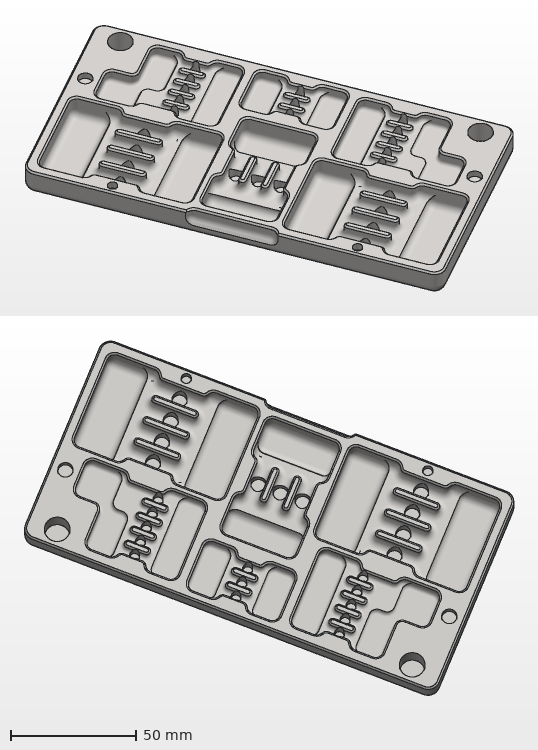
import cadquery as cq
import math

LENGTH = 177.8
WIDTH = 88.9
THICKNESS = 12.7
PLATE_CORNER = 4.8
BASE_FILLET = 4.75
EDGE_CHAMFER = 0.79

FIN_WIDTH = 3.175
WALL_STEP = FIN_WIDTH
WALL_CORNER = 3.2
BUMP_NOSE = 2.4
FIN_ROOT = 0.5
FLARE_GAP = 0.02
COMB_HOLE_DEPTH = 3.2

LARGE = {"ball": 3.175, "hole": 6.1, "tray_floor": 2.54, "comb_floor": 5.7, "fin_top": 11.6}
SMALL = {"ball": 1.5875, "hole": 4.1, "tray_floor": 7.0, "comb_floor": 8.8, "fin_top": 11.6}

SIDE_X = 51.9
SIDE_Y = -19.0
SIDE_FINS = 3
SIDE_FIN_SPAN = 16.6
SIDE_COMB = 30.4
SIDE_LENGTH = 64.7

CENTRE_Y = -12.2
CENTRE_FINS = 2
CENTRE_FIN_SPAN = 12.1
CENTRE_COMB = 25.8
CENTRE_LENGTH = 52.0

UPPER_FIN_SPAN = 7.9
UPPER_COMB = 16.2
UPPER_LENGTH = 39.1
MIDDLE_Y = 29.6
MIDDLE_FINS = 2
STEPPED_X = 44.0
STEPPED_Y = 22.2
STEPPED_FINS = 4

FOOT_OUTER_X = -32.1
FOOT_TOP_Y = -1.45
FOOT_INNER_X = -16.35
SILL_Y = -2.85
TRAY_BEND = 3.175
LOWER_BUMP_START = -12.2
LOWER_BUMP_END = 0.0

CORNER_HOLE = {"diameter": 10.2, "x": 76.3, "y": 37.1, "depth": 10.0}
EDGE_HOLE = {"diameter": 6.1, "x": 82.5, "y": 12.8, "depth": 3.0}
FRONT_HOLE = {"diameter": 4.1, "x": 51.9, "y": -40.6, "depth": 3.5}

NOTCH_LENGTH = 38.2
NOTCH_FLOOR = 6.12
NOTCH_DEPTH = 2.4
NOTCH_BALL = 3.175
NOTCH_CHAMFER = 1.0


def make_plate():
    plate = cq.Workplane("XY").rect(LENGTH, WIDTH).extrude(THICKNESS)
    plate = plate.edges("|Z").fillet(PLATE_CORNER)
    plate = plate.faces("<Z").edges().fillet(BASE_FILLET)
    return plate.faces(">Z").edges().chamfer(EDGE_CHAMFER)


TOUCHING = 1e-6


def rounded_outline(corners):
    """Closed wire through (x, y, radius) corners, each rounded by its radius."""
    count = len(corners)
    arcs = []
    for i, (x, y, radius) in enumerate(corners):
        corner = cq.Vector(x, y)
        before = (cq.Vector(*corners[i - 1][:2]) - corner).normalized()
        after = (cq.Vector(*corners[(i + 1) % count][:2]) - corner).normalized()
        half_angle = before.getAngle(after) / 2
        setback = radius / math.tan(half_angle)
        crown = radius / math.sin(half_angle) - radius
        middle = corner + (before + after).normalized() * crown
        arcs.append((corner + before * setback, middle, corner + after * setback))
    edges = []
    for i, (start, middle, end) in enumerate(arcs):
        next_start = arcs[(i + 1) % count][0]
        edges.append(cq.Edge.makeThreePointArc(start, middle, end))
        if (next_start - end).Length > TOUCHING:
            edges.append(cq.Edge.makeLine(end, next_start))
    return cq.Wire.assembleEdges(edges)


def rectangle(x0, x1, y0, y1, radius):
    return [(x0, y0, radius), (x1, y0, radius), (x1, y1, radius), (x0, y1, radius)]


def bump_end(x, side, comb_wall, tray_wall):
    """Corners of the step from a tray wall to the comb wall, in that order.

    Their two arcs meet each other directly. The straight comb wall ends at x. The side is +1 if
    the tray lies towards +X and -1 if it lies towards -X.
    """
    reach = BUMP_NOSE + WALL_CORNER
    turn = math.acos(1 - WALL_STEP / reach)
    lean = math.tan(turn / 2)
    tray_x = x + side * (reach * math.sin(turn) - WALL_CORNER * lean)
    return [(tray_x, tray_wall, WALL_CORNER), (x + side * BUMP_NOSE * lean, comb_wall, BUMP_NOSE)]


def wall_distances(fin_count, ball):
    """Distances from the pocket's X axis to the comb walls and to the tray walls."""
    comb_wall = fin_count * (FIN_WIDTH / 2 + ball) + ball
    return comb_wall, comb_wall + WALL_STEP


def plain_outlines(length, comb_width, span, fin_count, size):
    """Pocket outline and tray outlines with a rectangular tray on each side."""
    comb_wall, tray_wall = wall_distances(fin_count, size["ball"])
    far = length / 2
    near = comb_width / 2
    right_half = [
        *reversed(bump_end(span / 2, 1, -comb_wall, -tray_wall)),
        (far, -tray_wall, WALL_CORNER),
        (far, tray_wall, WALL_CORNER),
        *bump_end(span / 2, 1, comb_wall, tray_wall),
    ]
    left_half = [(-x, -y, radius) for x, y, radius in right_half]
    trays = [
        rectangle(near, far, -tray_wall, tray_wall, WALL_CORNER),
        rectangle(-far, -near, -tray_wall, tray_wall, WALL_CORNER),
    ]
    return right_half + left_half, trays


def stepped_outlines():
    """Pocket outline and tray outlines with a left tray that turns outwards at its foot."""
    comb_wall, tray_wall = wall_distances(STEPPED_FINS, SMALL["ball"])
    far = UPPER_LENGTH / 2
    near = UPPER_COMB / 2
    fin_end = UPPER_FIN_SPAN / 2
    foot_walls = [
        (-far, tray_wall, WALL_CORNER),
        (-far, FOOT_TOP_Y, TRAY_BEND),
        (FOOT_OUTER_X, FOOT_TOP_Y, WALL_CORNER),
        (FOOT_OUTER_X, -tray_wall, WALL_CORNER),
    ]
    outline = [
        (far, -tray_wall, WALL_CORNER),
        (far, tray_wall, WALL_CORNER),
        *bump_end(fin_end, 1, comb_wall, tray_wall),
        *reversed(bump_end(-fin_end, -1, comb_wall, tray_wall)),
        *foot_walls,
        *bump_end(LOWER_BUMP_START, -1, -comb_wall, -tray_wall),
        *reversed(bump_end(LOWER_BUMP_END, 1, -comb_wall, -tray_wall)),
    ]
    turned_tray = [
        *foot_walls,
        (FOOT_INNER_X, -tray_wall, WALL_CORNER),
        (FOOT_INNER_X, SILL_Y, TRAY_BEND),
        (-near, SILL_Y, WALL_CORNER),
        (-near, tray_wall, WALL_CORNER),
    ]
    return outline, [turned_tray, rectangle(near, far, -tray_wall, tray_wall, WALL_CORNER)]


def sunk(corners, floor, ball):
    """Cutter from the top face down to the floor, with its bottom edge rounded."""
    cutter = cq.Workplane("XY").add(rounded_outline(corners)).toPending().extrude(THICKNESS - floor)
    return cutter.faces("<Z").edges().fillet(ball).translate((0, 0, floor))


def flared_band(corners, chamfer):
    """Solid standing on z = 0 that first widens at 45 degrees by the chamfer."""
    outer = rounded_outline(corners).offset2D(chamfer)[0]
    band = cq.Workplane("XY").add(outer).toPending().extrude(2 * chamfer)
    return band.faces("<Z").edges().chamfer(chamfer)


def rim(corners):
    """Cutter that chamfers the edge of an opening in the top face."""
    return flared_band(corners, EDGE_CHAMFER).translate((0, 0, THICKNESS - EDGE_CHAMFER))


def fin_half_profile(plane, size):
    """Open half outline of a fin, from the middle of its root round to the middle of its top."""
    floor = size["comb_floor"]
    top = size["fin_top"]
    half = FIN_WIDTH / 2
    flare = size["ball"] - FLARE_GAP
    bow = flare * (1 - math.sqrt(0.5))
    return (
        cq.Workplane(plane)
        .moveTo(0, floor - FIN_ROOT)
        .lineTo(half + flare, floor - FIN_ROOT)
        .lineTo(half + flare, floor)
        .threePointArc((half + bow, floor + bow), (half, floor + flare))
        .lineTo(half, top - EDGE_CHAMFER)
        .lineTo(half - EDGE_CHAMFER, top)
        .lineTo(0, top)
    )


def make_fin(span, size):
    """Fin along X with round ends, a chamfered top and a foot flared onto the comb floor."""
    fin = fin_half_profile("YZ", size).mirrorY().extrude(span / 2, both=True)
    end = fin_half_profile("XZ", size).close().revolve(360, (0, 0), (0, 1))
    for x in (-span / 2, span / 2):
        fin = fin.union(end.translate((x, 0, 0)))
    return fin


def row(solid, count, pitch):
    """Copies of a solid along Y, centred on the origin."""
    return [solid.translate((0, (i - (count - 1) / 2) * pitch, 0)) for i in range(count)]


def make_pocket(outlines, span, fin_count, size):
    """Cutters, fins and comb hole cutters of a pocket centred on the origin."""
    outline, trays = outlines
    ball = size["ball"]
    cutters = [sunk(outline, size["comb_floor"], ball), rim(outline)]
    cutters += [sunk(tray, size["tray_floor"], ball) for tray in trays]
    pitch = FIN_WIDTH + 2 * ball
    fins = row(make_fin(span, size), fin_count, pitch)
    hole = cq.Workplane("XY").workplane(offset=size["comb_floor"] - COMB_HOLE_DEPTH)
    hole = hole.circle(size["hole"] / 2).extrude(THICKNESS)
    return cutters, fins, row(hole, fin_count + 1, pitch)


def moved(pocket, x, y, turn=0):
    def move(solid):
        return solid.rotate((0, 0, 0), (0, 0, 1), turn).translate((x, y, 0))

    return [[move(solid) for solid in group] for group in pocket]


def mirrored(pocket):
    return [[solid.mirror("YZ") for solid in group] for group in pocket]


def fit_pocket(body, pocket):
    cutters, fins, holes = pocket
    for cutter in cutters:
        body = body.cut(cutter)
    for fin in fins:
        body = body.union(fin)
    for hole in holes:
        body = body.cut(hole)
    return body


def hole_pair(diameter, x, y, depth):
    """Cutter for a blind hole and its mirror image."""
    holes = cq.Workplane("XY").workplane(offset=THICKNESS - depth).pushPoints([(-x, y), (x, y)])
    return holes.circle(diameter / 2).extrude(depth)


def notch_cutters():
    """Cutters for the thumb notch in the middle of the front edge, open to the front and top."""
    height = THICKNESS - NOTCH_FLOOR
    half = NOTCH_LENGTH / 2
    reach = 2 * NOTCH_BALL
    notch = cq.Workplane("XY").box(NOTCH_LENGTH, NOTCH_DEPTH + reach, 2 * height)
    notch = notch.edges("|Z or <Z").fillet(NOTCH_BALL)
    notch = notch.translate((0, (NOTCH_DEPTH - reach) / 2, THICKNESS))

    top_rim = rim(rectangle(-half, half, -reach, NOTCH_DEPTH, NOTCH_BALL))

    short_of_flat = NOTCH_BALL - (NOTCH_DEPTH - NOTCH_CHAMFER)
    section_radius = math.sqrt(NOTCH_BALL**2 - short_of_flat**2)
    inset = NOTCH_BALL - section_radius
    section_half = half - inset
    section_height = height - inset
    mouth = rectangle(-section_half, section_half, -section_height, section_height, section_radius)
    front_rim = flared_band(mouth, NOTCH_CHAMFER).rotate((0, 0, 0), (1, 0, 0), 90)
    front_rim = front_rim.translate((0, NOTCH_CHAMFER, THICKNESS))

    return [cutter.translate((0, -WIDTH / 2, 0)) for cutter in (notch, top_rim, front_rim)]


side_outlines = plain_outlines(SIDE_LENGTH, SIDE_COMB, SIDE_FIN_SPAN, SIDE_FINS, LARGE)
side_pocket = make_pocket(side_outlines, SIDE_FIN_SPAN, SIDE_FINS, LARGE)
left_side_pocket = moved(side_pocket, -SIDE_X, SIDE_Y)

centre_outlines = plain_outlines(CENTRE_LENGTH, CENTRE_COMB, CENTRE_FIN_SPAN, CENTRE_FINS, LARGE)
centre_pocket = make_pocket(centre_outlines, CENTRE_FIN_SPAN, CENTRE_FINS, LARGE)

middle_outlines = plain_outlines(UPPER_LENGTH, UPPER_COMB, UPPER_FIN_SPAN, MIDDLE_FINS, SMALL)
middle_pocket = make_pocket(middle_outlines, UPPER_FIN_SPAN, MIDDLE_FINS, SMALL)

stepped_pocket = make_pocket(stepped_outlines(), UPPER_FIN_SPAN, STEPPED_FINS, SMALL)
left_stepped_pocket = moved(stepped_pocket, -STEPPED_X, STEPPED_Y)

pockets = [
    left_side_pocket,
    mirrored(left_side_pocket),
    moved(centre_pocket, 0, CENTRE_Y, turn=90),
    moved(middle_pocket, 0, MIDDLE_Y),
    left_stepped_pocket,
    mirrored(left_stepped_pocket),
]

result = make_plate()
for pocket in pockets:
    result = fit_pocket(result, pocket)
for hole in (CORNER_HOLE, EDGE_HOLE, FRONT_HOLE):
    result = result.cut(hole_pair(**hole))
for cutter in notch_cutters():
    result = result.cut(cutter)